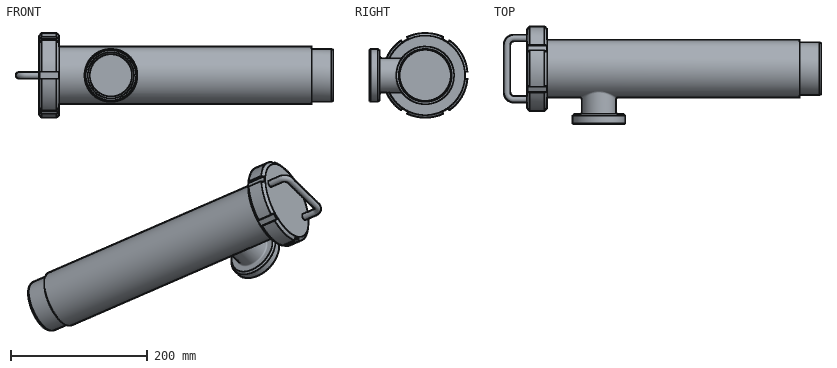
import cadquery as cq
import math

total_length = 467.0

handle_diameter = 10.0
handle_span = 90.0
handle_bend_radius = 10.0

nut_face_x = 34.0
nut_width = 30.0
nut_radius = 62.5
nut_chamfer_length = 4.0
nut_face_chamfer_depth = 5.0
nut_back_chamfer_depth = 4.0
slot_count = 6
slot_width = 10.0
slot_depth = 3.5
nut_back_x = nut_face_x + nut_width

body_radius = 42.5
neck_length = 32.0
neck_radius = 39.0
neck_root_fillet = 1.5
neck_end_chamfer_length = 2.8
neck_end_chamfer_depth = 1.5
body_end_x = total_length - neck_length

branch_x = 140.0
branch_radius = 25.5
branch_reach = 82.0
branch_root_fillet = 2.5
flange_radius = 39.0
flange_thickness = 15.5
flange_back_chamfer = 3.0
flange_front_chamfer = 2.0
flange_root_fillet = 2.0
seat_mouth_radius = 34.0
seat_floor_radius = 31.0
seat_depth = 5.0
flange_back_y = flange_thickness - branch_reach


def cylinder_along_x(radius, start_x, end_x):
    return cq.Workplane("YZ", origin=(start_x, 0, 0)).circle(radius).extrude(end_x - start_x)


def make_body():
    """Solid tube with a reduced neck, filleted at its root and tapered at its tip."""
    body = cylinder_along_x(body_radius, nut_face_x, body_end_x)
    neck = cylinder_along_x(neck_radius, nut_back_x, total_length)
    neck = neck.faces(">X").edges().chamfer(neck_end_chamfer_length, neck_end_chamfer_depth)
    body = body.union(neck)
    shoulder = cq.selectors.BoxSelector(
        (body_end_x - neck_root_fillet, -body_radius, -body_radius),
        (body_end_x + neck_root_fillet, body_radius, body_radius),
    )
    shoulder_edges = body.edges(shoulder).edges(cq.selectors.RadiusNthSelector(0))
    return shoulder_edges.fillet(neck_root_fillet)


def make_nut():
    """Chamfered disc with evenly spaced slots, the first one facing +Y."""
    nut = cylinder_along_x(nut_radius, nut_face_x, nut_back_x)
    nut = nut.faces("<X").edges().chamfer(nut_chamfer_length, nut_face_chamfer_depth)
    nut = nut.faces(">X").edges().chamfer(nut_chamfer_length, nut_back_chamfer_depth)
    slot_floor = nut_radius - slot_depth
    slot = cq.Workplane("XY").box(nut_width, 2 * slot_depth, slot_width)
    slot = slot.translate((nut_face_x + nut_width / 2, slot_floor + slot_depth, 0))
    for index in range(slot_count):
        nut = nut.cut(slot.rotate((0, 0, 0), (1, 0, 0), index * 360 / slot_count))
    return nut


def make_handle():
    """U-shaped bar whose two legs run into the nut face."""
    half_span = handle_span / 2
    grip_x = handle_diameter / 2
    bend_end_x = grip_x + handle_bend_radius
    bend_start_y = half_span - handle_bend_radius
    bend_mid = handle_bend_radius * (1 - math.sqrt(0.5))
    leg_end_x = nut_face_x + nut_width / 2
    path = (
        cq.Workplane("XY")
        .moveTo(leg_end_x, -half_span)
        .lineTo(bend_end_x, -half_span)
        .threePointArc((grip_x + bend_mid, bend_mid - half_span), (grip_x, -bend_start_y))
        .lineTo(grip_x, bend_start_y)
        .threePointArc((grip_x + bend_mid, half_span - bend_mid), (bend_end_x, half_span))
        .lineTo(leg_end_x, half_span)
    )
    section = cq.Workplane("YZ", origin=(leg_end_x, -half_span, 0)).circle(handle_diameter / 2)
    return section.sweep(path)


def cylinder_along_branch(radius, start_y, length):
    """Cylinder on the branch axis that starts at start_y and runs toward -Y."""
    return cq.Workplane("XZ", origin=(branch_x, start_y, 0)).circle(radius).extrude(length)


def add_branch(body):
    """Join the branch pipe to the body and round the joint."""
    body = body.union(cylinder_along_branch(branch_radius, 0, -flange_back_y))
    joint_reach = branch_radius + branch_root_fillet
    joint_zone = cq.selectors.BoxSelector(
        (branch_x - joint_reach, -body_radius, -joint_reach),
        (branch_x + joint_reach, 0, joint_reach),
    )
    return body.edges(joint_zone).fillet(branch_root_fillet)


def make_flange():
    """Round flange on a filleted pipe stub and a conical seat in its face."""
    flange = cylinder_along_branch(flange_radius, flange_back_y, flange_thickness)
    flange = flange.faces(">Y").edges().chamfer(flange_back_chamfer)
    flange = flange.faces("<Y").edges().chamfer(flange_front_chamfer)
    pipe = cylinder_along_branch(branch_radius, -body_radius, -flange_back_y - body_radius)
    flange = flange.union(pipe)
    root = cq.selectors.BoxSelector(
        (branch_x - flange_radius, flange_back_y - flange_root_fillet, -flange_radius),
        (branch_x + flange_radius, flange_back_y + flange_root_fillet, flange_radius),
    )
    flange = flange.edges(root).edges(cq.selectors.RadiusNthSelector(0)).fillet(flange_root_fillet)
    seat = (
        cq.Workplane("XZ", origin=(branch_x, seat_depth - branch_reach, 0))
        .circle(seat_floor_radius)
        .workplane(offset=seat_depth)
        .circle(seat_mouth_radius)
        .loft()
    )
    return flange.cut(seat)


housing = add_branch(make_body())
result = housing.union(make_flange()).union(make_nut()).union(make_handle())